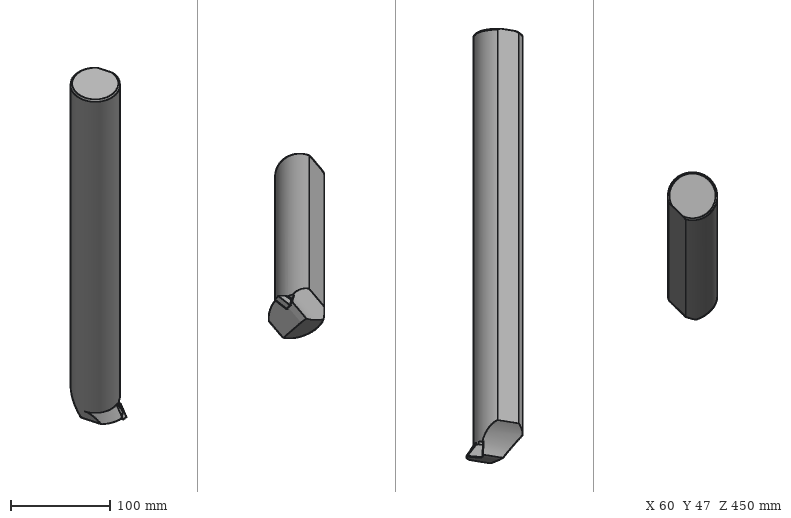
import cadquery as cq
import math

length = 450.0
bar_diameter = 50.0
bar_radius = bar_diameter / 2
overall_width = 60.0
side_offset = 23.5
bar_y = bar_radius - side_offset
end_chamfer = 2.0

flare_top = 15.5
flare_slope = 0.61
relief_top = 32.5
relief_foot_x = -1.0
nose_z = 1.5
end_tilt = 8.0
pocket_profile = [(24.0, 35.5), (15.0, 23.0), (8.5, 0.0)]

tip_x = overall_width - bar_radius
rake_y = 2.0
rake_turn = -12.0
insert_thickness = 6.0
insert_side = 15.5
insert_angle = 55.0

cut_size = 4 * bar_radius


def make_side_envelope():
    """Slab between the back flat and the front face of the head."""
    return cq.Workplane("XY").box(cut_size, 2 * side_offset, length, centered=(True, True, False))


def make_bar():
    """Round bar with a chamfered upper end."""
    bar = cq.Workplane("XY", origin=(0, bar_y, 0)).circle(bar_radius).extrude(length)
    return bar.faces(">Z").chamfer(end_chamfer)


def make_flare():
    """Front +X quarter of a cone that widens toward the cutting end."""
    foot_radius = bar_radius + flare_slope * flare_top
    cone = (
        cq.Workplane("XZ", origin=(0, bar_y, 0))
        .polyline([(0, 0), (foot_radius, 0), (bar_radius, flare_top), (0, flare_top)])
        .close()
        .revolve(360, (0, 0), (0, 1))
    )
    keep = (
        cq.Workplane("XY")
        .box(cut_size, cut_size, flare_top, centered=(False, False, False))
        .translate((0, rake_y - cut_size, 0))
    )
    return cone.intersect(keep)


def make_relief():
    """Sloping cut that clears the side opposite the insert."""
    return (
        cq.Workplane("XZ")
        .polyline([(-bar_radius, relief_top), (relief_foot_x, 0), (-bar_radius, 0)])
        .close()
        .extrude(cut_size / 2, both=True)
    )


def make_chip_pocket():
    """Curved chip pocket running across the head in X."""
    start, middle, end = pocket_profile
    return (
        cq.Workplane("YZ")
        .moveTo(*start)
        .threePointArc(middle, end)
        .lineTo(cut_size, 0)
        .lineTo(cut_size, start[1])
        .close()
        .extrude(cut_size / 2, both=True)
    )


def tilt_about_tip(body):
    """Lean a body back by the end tilt and turn it about the insert tip."""
    tip = cq.Vector(tip_x, rake_y, 0)
    leaned = body.rotate(tip, tip + cq.Vector(4.5, 0, 0), -end_tilt)
    return leaned.rotate(tip, tip + cq.Vector(0, 0, 4.5), rake_turn)


def make_seat_clearance():
    """Cut that opens the rake face of the insert toward +Y."""
    clearance = (
        cq.Workplane("XY")
        .box(cut_size, cut_size, 2 * flare_top, centered=(False, False, True))
        .translate((tip_x - insert_side, rake_y, 0))
    )
    return tilt_about_tip(clearance)


def make_end_cut():
    """Tilted cut that forms the lower end face, rising toward -Y."""
    rise = math.tan(math.radians(end_tilt)) * (cut_size + rake_y)
    return (
        cq.Workplane("YZ")
        .polyline([
            (cut_size, 0),
            (cut_size, nose_z),
            (rake_y, nose_z),
            (-cut_size, nose_z + rise),
            (-cut_size, 0),
        ])
        .close()
        .extrude(cut_size / 2, both=True)
    )


def make_insert():
    """Rhombic cutting insert with its acute corner at the tip."""
    angle = math.radians(insert_angle)
    step_x = insert_side * math.cos(angle)
    step_z = insert_side * math.sin(angle)
    blank = (
        cq.Workplane("XZ", origin=(0, rake_y, 0))
        .polyline([
            (tip_x, 0),
            (tip_x - step_x, step_z),
            (tip_x - step_x - insert_side, step_z),
            (tip_x - insert_side, 0),
        ])
        .close()
        .extrude(insert_thickness)
    )
    return tilt_about_tip(blank)


def make_holder(insert):
    """Boring bar with a flared head and a seat for the insert."""
    holder = make_bar().union(make_flare()).intersect(make_side_envelope())
    for cutter in (make_relief(), make_chip_pocket(), make_seat_clearance(), make_end_cut(), insert):
        holder = holder.cut(cutter)
    return holder


insert = make_insert()
holder = make_holder(insert)
result = cq.Compound.makeCompound([holder.val(), insert.val()])